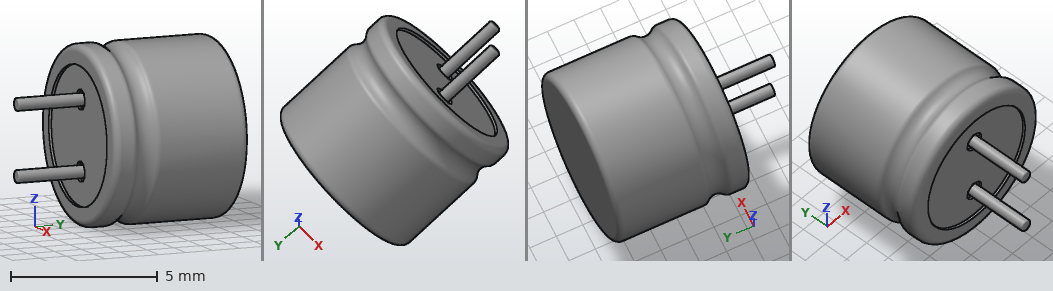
import cadquery as cq
import math

total_length = 7.3
can_diameter = 6.3
can_length = 5.0
rim_radius = 0.25

groove_setback = 1.2
groove_depth = 0.205
groove_radius = 0.505
groove_blend = 0.25

seal_diameter = 4.905
seal_recess = 0.1
well_diameter = 0.7
well_depth = 0.1

lead_diameter = 0.45
lead_pitch = 2.5
lead_tip_fillet = 0.045

can_radius = can_diameter / 2
front_y = -can_length / 2
back_y = can_length / 2
lead_tip_y = back_y - total_length
seal_y = front_y + seal_recess
well_floor_y = seal_y + well_depth
lead_places = [(0, -lead_pitch / 2), (0, lead_pitch / 2)]


def cylinders(places, diameter, start_y, end_y):
    """Cylinders along +Y, placed by their (x, z) centres."""
    plane = cq.Workplane(cq.Plane(origin=(0, start_y, 0), xDir=(1, 0, 0), normal=(0, 1, 0)))
    points = [(x, -z) for x, z in places]
    return plane.pushPoints(points).circle(diameter / 2).extrude(end_y - start_y)


def make_can():
    """Revolve the rounded can profile, including the crimp groove."""
    groove_y = front_y + groove_setback
    floor_radius = can_radius - groove_depth
    valley_centre_radius = floor_radius + groove_radius
    blend_centre_radius = can_radius - groove_blend

    centre_distance = groove_radius + groove_blend
    tangent_angle = math.acos((valley_centre_radius - blend_centre_radius) / centre_distance)
    half_width = centre_distance * math.sin(tangent_angle)
    tangent_offset = groove_radius * math.sin(tangent_angle)
    tangent_radius = valley_centre_radius - groove_radius * math.cos(tangent_angle)
    blend_mid_offset = half_width - groove_blend * math.sin(tangent_angle / 2)
    blend_mid_radius = blend_centre_radius + groove_blend * math.cos(tangent_angle / 2)

    profile = (
        cq.Workplane("XY")
        .moveTo(0, front_y)
        .lineTo(can_radius, front_y)
        .lineTo(can_radius, groove_y - half_width)
        .threePointArc(
            (blend_mid_radius, groove_y - blend_mid_offset),
            (tangent_radius, groove_y - tangent_offset),
        )
        .threePointArc((floor_radius, groove_y), (tangent_radius, groove_y + tangent_offset))
        .threePointArc(
            (blend_mid_radius, groove_y + blend_mid_offset),
            (can_radius, groove_y + half_width),
        )
        .lineTo(can_radius, back_y)
        .lineTo(0, back_y)
        .close()
    )
    can = profile.revolve(360, (0, 0, 0), (0, 1, 0))
    return can.faces("<Y or >Y").edges().fillet(rim_radius)


def make_leads():
    """Two round leads standing on the well floors, with rounded tips."""
    leads = cylinders(lead_places, lead_diameter, lead_tip_y, well_floor_y)
    return leads.faces("<Y").edges().fillet(lead_tip_fillet)


seal_pocket = cylinders([(0, 0)], seal_diameter, front_y, seal_y)
lead_wells = cylinders(lead_places, well_diameter, seal_y, well_floor_y)

result = make_can().cut(seal_pocket).cut(lead_wells).union(make_leads())